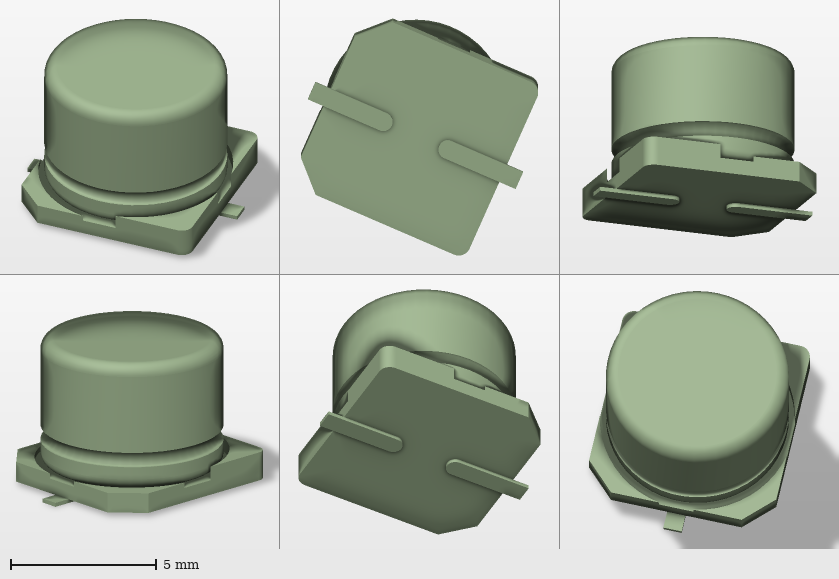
import cadquery as cq

overall_length = 7.8
overall_height = 5.2

lead_thickness = 0.14
lead_width = 0.65
lead_inner_end = 0.89

base_side = 6.6
base_bottom = lead_thickness
low_rim_top = 0.85
high_rim_top = 1.155
corner_chamfer = 1.0
corner_radius = 0.405

pocket_floor = 0.66
pocket_radius = 3.355

can_radius = 6.3 / 2
can_bottom_radius = 0.405
can_top_radius = 0.42
groove_bottom = 1.51
groove_top = 2.035
groove_lip = 0.03
groove_depth = 0.265


def make_base():
    plate = cq.Workplane("XY", origin=(0, 0, base_bottom)).box(
        base_side, base_side, high_rim_top - base_bottom, centered=(True, True, False)
    )
    plate = plate.edges("|Z and <X").chamfer(corner_chamfer)
    plate = plate.edges("|Z and >X").fillet(corner_radius)

    lowering = cq.Workplane("XY", origin=(-base_side / 2, 0, low_rim_top)).box(
        base_side, base_side, high_rim_top - low_rim_top, centered=(True, True, False)
    )
    pocket = (
        cq.Workplane("XY", origin=(0, 0, pocket_floor))
        .circle(pocket_radius)
        .extrude(high_rim_top - pocket_floor)
    )
    return plate.cut(lowering).cut(pocket)


def make_can():
    can = (
        cq.Workplane("XY", origin=(0, 0, pocket_floor))
        .circle(can_radius)
        .extrude(overall_height - pocket_floor)
    )
    can = can.faces(">Z").edges().fillet(can_top_radius)
    can = can.faces("<Z").edges().fillet(can_bottom_radius)

    mouth = can_radius - groove_lip
    groove = (
        cq.Workplane("XZ")
        .moveTo(can_radius, groove_bottom)
        .lineTo(mouth, groove_bottom)
        .threePointArc(
            (can_radius - groove_depth, (groove_bottom + groove_top) / 2),
            (mouth, groove_top),
        )
        .lineTo(can_radius, groove_top)
        .close()
        .revolve(360, (0, 0, 0), (0, 1, 0))
    )
    return can.cut(groove)


def make_lead(side):
    """Flat lead with a half-round inner tip; side is +1 for +X, -1 for -X."""
    tip_radius = lead_width / 2
    tip_center = lead_inner_end + tip_radius
    length = overall_length / 2 - tip_center
    strip = (
        cq.Workplane("XY")
        .center(side * (tip_center + length / 2), 0)
        .rect(length, lead_width)
        .extrude(lead_thickness)
    )
    tip = cq.Workplane("XY").center(side * tip_center, 0).circle(tip_radius).extrude(lead_thickness)
    return strip.union(tip)


result = make_base().union(make_can())
for lead_side in (-1, 1):
    result = result.union(make_lead(lead_side))